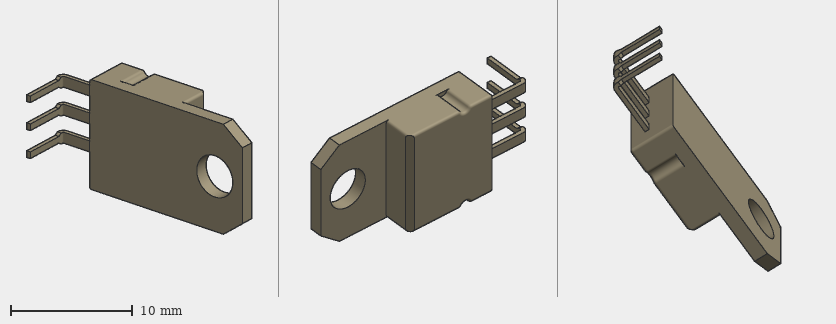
import cadquery as cq
import math

plate_length = 16.0
height = 10.0
plate_thickness = 1.25
body_length = 8.99
body_depth = 4.25
edge_radius = 0.25
end_chamfer = 0.5

corner_length = 2.0
corner_height = 1.55
hole_diameter = 3.75
hole_x = 13.1

groove_x = 2.96
groove_half_width = 0.7
groove_radius = 0.5
groove_lip_radius = 0.3

lead_count = 3
lead_pitch = 2.55
lead_thickness = 0.4
lead_width = 1.0
lead_tip_width = 0.6
lead_reach = 5.0
lead_back_y = 2.73
lead_tip_y = -2.02
lead_bend_radius = 0.1
taper_start_y = 2.05
taper_end_y = 1.76
lead_embed = 0.2


def make_plate():
    """Mounting plate with tapered tab corners and rounded lead-end edges."""
    half = height / 2
    tab_half = half - corner_height
    taper_x = plate_length - corner_length
    outline = [
        (0, -half),
        (taper_x, -half),
        (plate_length, -tab_half),
        (plate_length, tab_half),
        (taper_x, half),
        (0, half),
    ]
    plate = cq.Workplane("XZ").polyline(outline).close().extrude(-plate_thickness)
    return plate.edges("|Y and <X").fillet(edge_radius)


def make_groove(side):
    """Round-bottomed groove with flared lips; side is +1 (top) or -1 (bottom).

    Each wall is an S of two tangent arcs, lip then floor, that meet at the sweep angle.
    """
    surface = side * height / 2
    sweep = math.asin(groove_half_width / (groove_lip_radius + groove_radius))

    def lip_point(sign, angle):
        x = groove_half_width - groove_lip_radius * math.sin(angle)
        drop = groove_lip_radius * (1 - math.cos(angle))
        return (sign * x, surface - side * drop)

    def floor_point(sign, angle):
        x = groove_radius * math.sin(angle)
        rise = groove_radius * (1 - math.cos(angle))
        depth = (groove_lip_radius + groove_radius) * (1 - math.cos(sweep))
        return (sign * x, surface - side * (depth - rise))

    return (
        cq.Workplane("XZ", origin=(groove_x, plate_thickness, 0))
        .moveTo(*lip_point(-1, 0))
        .threePointArc(lip_point(-1, sweep / 2), lip_point(-1, sweep))
        .threePointArc(floor_point(-1, sweep / 2), floor_point(-1, 0))
        .threePointArc(floor_point(1, sweep / 2), floor_point(1, sweep))
        .threePointArc(lip_point(1, sweep / 2), lip_point(1, 0))
        .close()
        .extrude(plate_thickness - body_depth)
    )


def make_body():
    """Grooved block with a chamfered tab-side edge and rounded outer edges."""
    block = cq.Workplane("XY").box(body_length, body_depth, height, centered=(False, False, True))
    block = block.edges("|Z and >X and >Y").chamfer(end_chamfer)
    block = block.edges("|Y").fillet(edge_radius)
    for side in (1, -1):
        block = block.cut(make_groove(side))
    return block.faces(">Y").edges("not(|Z and >X)").fillet(edge_radius)


def make_lead(z):
    """Lead that leaves the body, bends towards -Y and narrows below the bend."""
    inner_x = lead_thickness - lead_reach
    inner_y = lead_back_y - lead_thickness
    path = [
        (lead_embed, lead_back_y),
        (-lead_reach, lead_back_y),
        (-lead_reach, lead_tip_y),
        (inner_x, lead_tip_y),
        (inner_x, inner_y),
        (lead_embed, inner_y),
    ]
    lead = cq.Workplane("XY").polyline(path).close().extrude(lead_width / 2, both=True)
    outer_bend = cq.selectors.NearestToPointSelector((-lead_reach, lead_back_y, 0))
    inner_bend = cq.selectors.NearestToPointSelector((inner_x, inner_y, 0))
    lead = lead.edges("|Z").edges(outer_bend).fillet(lead_bend_radius + lead_thickness)
    lead = lead.edges("|Z").edges(inner_bend).fillet(lead_bend_radius)
    for side in (1, -1):
        wide = side * lead_width / 2
        narrow = side * lead_tip_width / 2
        waste_outline = [
            (taper_start_y, wide),
            (taper_end_y, narrow),
            (lead_tip_y, narrow),
            (lead_tip_y, wide),
        ]
        waste = cq.Workplane("YZ", origin=(-lead_reach, 0, 0)).polyline(waste_outline).close()
        lead = lead.cut(waste.extrude(lead_thickness))
    return lead.translate((0, 0, z))


result = make_plate().union(make_body())

hole = (
    cq.Workplane("XZ", origin=(hole_x, 0, 0))
    .circle(hole_diameter / 2)
    .extrude(-plate_thickness)
)
result = result.cut(hole)

for lead_index in range(lead_count):
    lead_z = (lead_index - (lead_count - 1) / 2) * lead_pitch
    result = result.union(make_lead(lead_z))